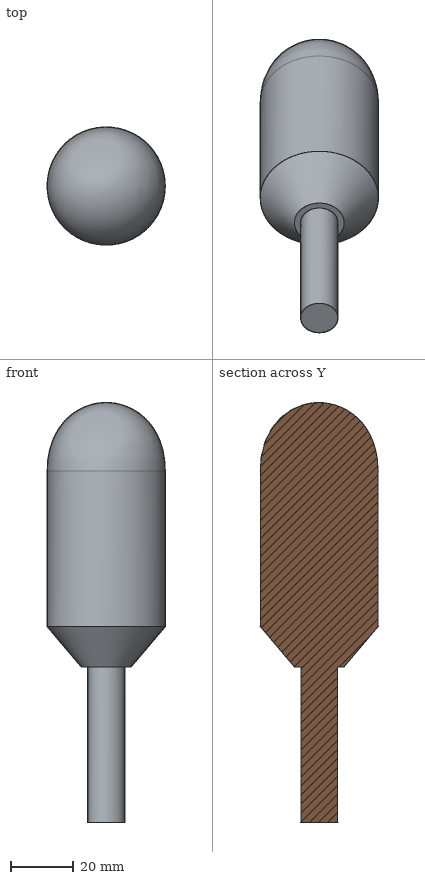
import cadquery as cq

BODY_DIAMETER = 38.0
STEM_DIAMETER = 12.0
CONE_SMALL_DIAMETER = 16.0
STEM_LENGTH = 50.0
CONE_LENGTH = 13.0
BODY_LENGTH = 50.0
TOTAL_LENGTH = 135.0

CONE_BOTTOM = STEM_LENGTH
BODY_BOTTOM = CONE_BOTTOM + CONE_LENGTH
BODY_TOP = BODY_BOTTOM + BODY_LENGTH
DOME_HEIGHT = TOTAL_LENGTH - BODY_TOP

SIDE_HANDLE = 0.65
CROWN_HANDLE = 0.5


def half_profile():
    """Half section in the XZ plane, from the axis out to the surface and back."""
    stem_radius = STEM_DIAMETER / 2
    cone_small_radius = CONE_SMALL_DIAMETER / 2
    body_radius = BODY_DIAMETER / 2
    dome_curve = [
        (body_radius, BODY_TOP),
        (body_radius, BODY_TOP + SIDE_HANDLE * DOME_HEIGHT),
        (CROWN_HANDLE * body_radius, TOTAL_LENGTH),
        (0, TOTAL_LENGTH),
    ]
    return (
        cq.Workplane("XZ")
        .moveTo(0, 0)
        .lineTo(stem_radius, 0)
        .lineTo(stem_radius, CONE_BOTTOM)
        .lineTo(cone_small_radius, CONE_BOTTOM)
        .lineTo(body_radius, BODY_BOTTOM)
        .lineTo(body_radius, BODY_TOP)
        .bezier(dome_curve)
        .close()
    )


result = half_profile().revolve(360, (0, 0, 0), (0, 1, 0))